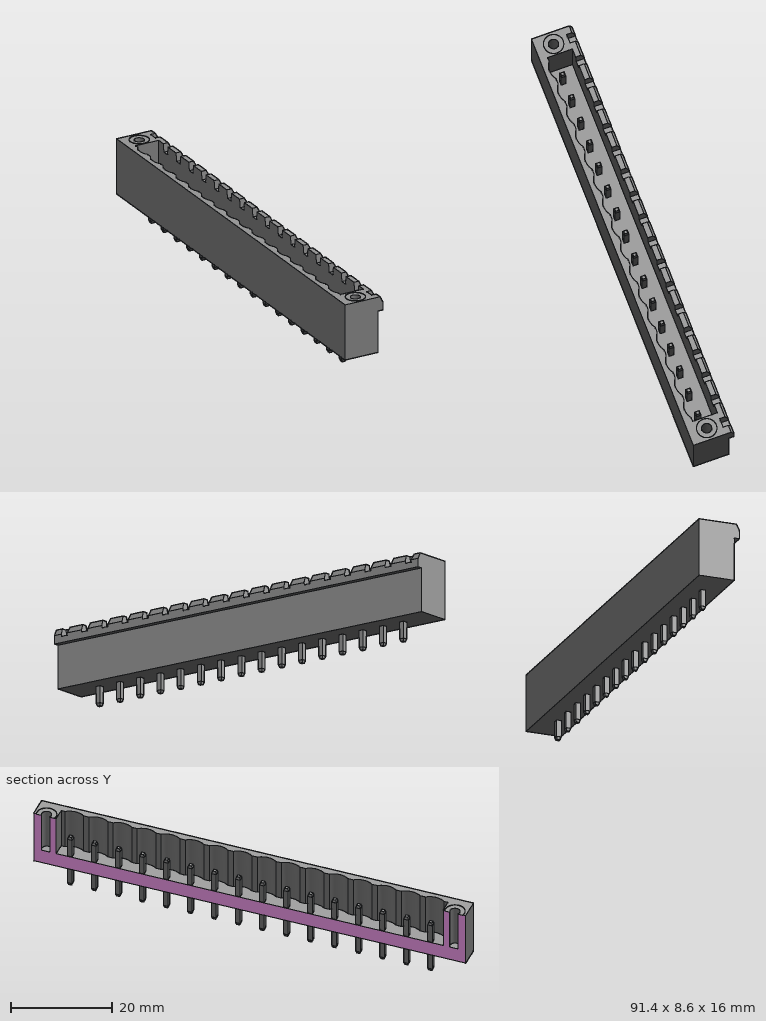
import cadquery as cq
import math

length = 91.4
body_depth = 7.5
body_height = 12.0

lip_overhang = 1.1
lip_height = 3.0
lip_bevel_depth = 0.6
lip_bevel_height = 1.3
lip_edge_y = body_depth + lip_overhang

pin_count = 16
pin_row_length = 76.3
pitch = pin_row_length / (pin_count - 1)
pin_y = 3.75
pin_width = 1.0
pin_tip_height = 0.55
pin_tip_taper = 0.2
pin_below = 4.0
pin_top_gap = 4.1

pocket_length = 81.8
pocket_front_y = 1.65
pocket_back_y = 6.9
pocket_floor = 3.2
scallop_chord = 3.9
scallop_rise = 0.6

notch_top_width = 1.9
notch_floor_width = 1.4
notch_depth = 1.7

screw_hole_diameter = 2.0
screw_hole_depth = body_height - pocket_floor
seat_diameter = 4.0
seat_depth = 0.1

pin_xs = [-pin_row_length / 2 + i * pitch for i in range(pin_count)]
hole_xs = [pin_xs[0] - pitch, pin_xs[-1] + pitch]


def make_body():
    """Housing block with the bevelled lip, as one profile along X."""
    profile = [
        (0, 0),
        (body_depth, 0),
        (body_depth, body_height - lip_height),
        (lip_edge_y, body_height - lip_height),
        (lip_edge_y, body_height - lip_bevel_height),
        (lip_edge_y - lip_bevel_depth, body_height),
        (0, body_height),
    ]
    return cq.Workplane("YZ").polyline(profile).close().extrude(length / 2, both=True)


def make_pocket():
    """Pocket volume; its front side bulges outward in an arc at every pin."""
    half = pocket_length / 2
    outline = cq.Workplane("XY", origin=(0, 0, pocket_floor)).moveTo(-half, pocket_front_y)
    for x in pin_xs:
        outline = outline.lineTo(x - scallop_chord / 2, pocket_front_y).threePointArc(
            (x, pocket_front_y - scallop_rise),
            (x + scallop_chord / 2, pocket_front_y),
        )
    outline = outline.lineTo(half, pocket_front_y).lineTo(half, pocket_back_y)
    return outline.lineTo(-half, pocket_back_y).close().extrude(body_height - pocket_floor)


def make_notch(x):
    """Tapered notch running from the pocket's back wall out through the lip."""
    floor_z = body_height - notch_depth
    profile = [
        (x - notch_top_width / 2, body_height),
        (x - notch_floor_width / 2, floor_z),
        (x + notch_floor_width / 2, floor_z),
        (x + notch_top_width / 2, body_height),
    ]
    plane = cq.Workplane("XZ", origin=(0, lip_edge_y, 0))
    return plane.polyline(profile).close().extrude(lip_edge_y - pocket_back_y)


def make_pin(x):
    """Square pin through the pocket floor, tapered to a smaller square at both ends."""
    shaft_bottom = pin_tip_height - pin_below
    shaft_top = body_height - pin_top_gap - pin_tip_height
    taper_angle = math.degrees(math.atan(pin_tip_taper / pin_tip_height))
    shaft = cq.Workplane("XY", origin=(x, pin_y, shaft_bottom)).rect(pin_width, pin_width)
    pin = shaft.extrude(shaft_top - shaft_bottom)
    for end_face in (">Z", "<Z"):
        end = pin.faces(end_face).workplane(origin=(x, pin_y, 0)).rect(pin_width, pin_width)
        pin = end.extrude(pin_tip_height, taper=taper_angle)
    return pin


def cut_screw_holes(body):
    """Blind holes with their seats in both end blocks."""
    hole_points = [(x, pin_y) for x in hole_xs]
    top = cq.Workplane("XY", origin=(0, 0, body_height)).pushPoints(hole_points)
    body = body.cut(top.circle(seat_diameter / 2).extrude(-seat_depth))
    return body.cut(top.circle(screw_hole_diameter / 2).extrude(-screw_hole_depth))


result = make_body().cut(make_pocket())
for notch_x in pin_xs + hole_xs:
    result = result.cut(make_notch(notch_x))
result = cut_screw_holes(result)
for pin_x in pin_xs:
    result = result.union(make_pin(pin_x))